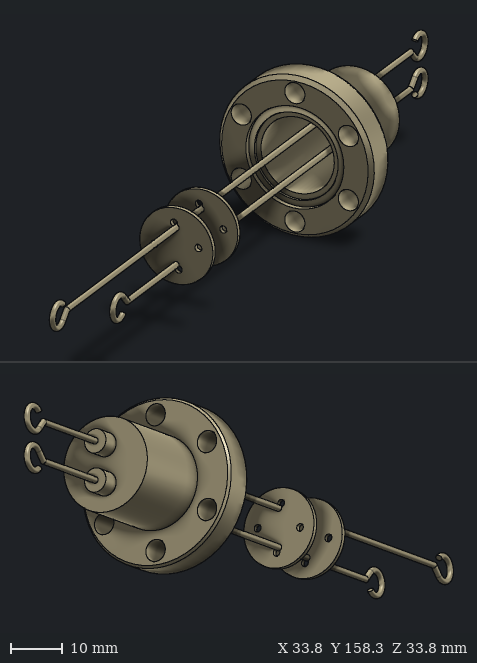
import cadquery as cq
import math


flange_diameter = 33.78
flange_thickness = 7.2
front_chamfer = 0.9
back_chamfer = 0.5
bolt_count = 6
bolt_circle_diameter = 27.0
bolt_hole_diameter = 4.4

recess_diameter = 21.4
knife_edge_diameter = 18.3
knife_edge_depth = 0.6
recess_depth = 1.2

tube_diameter = 19.05
tube_end = 25.8
bore_diameter = 16.0
end_wall = (tube_diameter - bore_diameter) / 2
bore_depth = tube_end - end_wall

sleeve_diameter = 4.85
sleeve_length = 3.8

wire_diameter = 1.3
wire_offset = 3.9
hook_radius = 2.5
hook_start_angle = -135
hook_end_angle = 135
back_tip = 55.5
overall_length = 158.29
front_tip_long = back_tip - overall_length
front_tip_short = -77.4

disc_diameter = 16.0
disc_thickness = 1.0
disc_centers = (-39.0, -49.5)
disc_hole_count = 4
disc_hole_circle_radius = 4.85
disc_hole_diameter = 1.5
disc_hole_rotation = 6


def cylinder(diameter, y_start, y_end, x=0, z=0):
    """Cylinder along Y between two Y positions."""
    axis = cq.Vector(0, 1, 0)
    base = cq.Vector(x, y_start, z)
    return cq.Workplane(cq.Solid.makeCylinder(diameter / 2, y_end - y_start, base, axis))


def make_flange():
    flange = cylinder(flange_diameter, 0, flange_thickness)
    flange = flange.faces("<Y").edges().chamfer(front_chamfer)
    flange = flange.faces(">Y").edges().chamfer(back_chamfer)
    for i in range(bolt_count):
        angle = math.radians(90 + i * 360 / bolt_count)
        x = bolt_circle_diameter / 2 * math.cos(angle)
        z = bolt_circle_diameter / 2 * math.sin(angle)
        flange = flange.cut(cylinder(bolt_hole_diameter, 0, flange_thickness, x, z))
    return flange


def make_seal_recess():
    """Volume removed in front of the knife edge."""
    return (
        cq.Workplane("XY")
        .lineTo(recess_diameter / 2, 0)
        .lineTo(recess_diameter / 2, recess_depth)
        .lineTo(knife_edge_diameter / 2, knife_edge_depth)
        .lineTo(knife_edge_diameter / 2, recess_depth)
        .lineTo(0, recess_depth)
        .close()
        .revolve(360, (0, 0, 0), (0, 1, 0))
    )


def make_housing():
    housing = make_flange().union(cylinder(tube_diameter, 0, tube_end))
    housing = housing.cut(make_seal_recess())
    return housing.cut(cylinder(bore_diameter, 0, bore_depth))


def make_disc(y_center):
    """Spacer disc with a ring of holes, turned slightly against the wires."""
    y_start = y_center - disc_thickness / 2
    y_end = y_center + disc_thickness / 2
    disc = cylinder(disc_diameter, y_start, y_end)
    for i in range(disc_hole_count):
        angle = math.radians(disc_hole_rotation + i * 360 / disc_hole_count)
        x = disc_hole_circle_radius * math.cos(angle)
        z = disc_hole_circle_radius * math.sin(angle)
        disc = disc.cut(cylinder(disc_hole_diameter, y_start, y_end, x, z))
    return disc


def make_half_wire(y_tip, outward, z_wire, bend):
    """Wire from the y = 0 plane to a hook whose ring is centred on the wire axis.

    outward is the Y direction (+1 or -1) of the tip, bend the Z direction of the first bend.
    """
    y_ring = y_tip - outward * (hook_radius + wire_diameter / 2)

    def ring_point(angle):
        turn = math.radians(angle)
        y = y_ring + outward * hook_radius * math.cos(turn)
        return (y, z_wire - bend * hook_radius * math.sin(turn))

    y_corner = y_ring - outward * hook_radius * math.sqrt(2)
    path = (
        cq.Workplane("YZ")
        .moveTo(0, z_wire)
        .lineTo(y_corner, z_wire)
        .lineTo(*ring_point(hook_start_angle))
        .threePointArc(ring_point(0), ring_point(hook_end_angle))
    )
    section = cq.Workplane("XZ").center(0, z_wire).circle(wire_diameter / 2)
    return section.sweep(path, transition="right")


def make_wire(z_wire, bend, front_tip):
    back_half = make_half_wire(back_tip, 1, z_wire, bend)
    front_half = make_half_wire(front_tip, -1, z_wire, bend)
    return back_half.union(front_half)


result = make_housing()
for y_center in disc_centers:
    result = result.union(make_disc(y_center))
for side, front_tip in ((1, front_tip_long), (-1, front_tip_short)):
    z_wire = side * wire_offset
    sleeve = cylinder(sleeve_diameter, tube_end, tube_end + sleeve_length, 0, z_wire)
    result = result.union(sleeve).union(make_wire(z_wire, -side, front_tip))